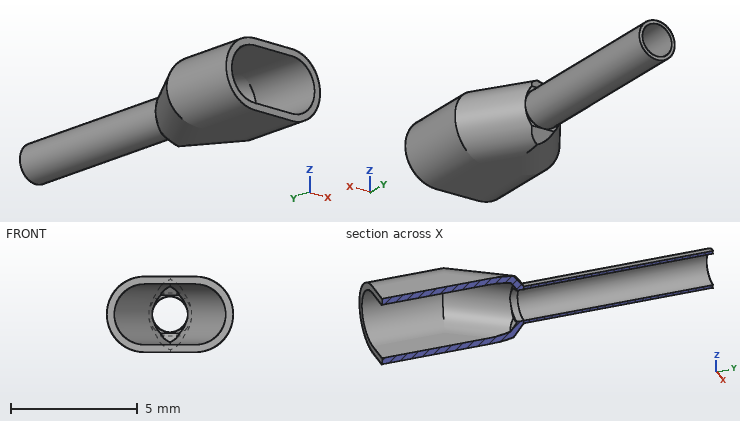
import cadquery as cq
import math

collar_width = 5.0
collar_height = 3.0
collar_length = 6.0
collar_wall = 0.3
taper_start = 3.5
tip_bevel_length = 0.5

sleeve_diameter = 1.7
sleeve_bore = 1.4
sleeve_length = 8.0

sleeve_radius = sleeve_diameter / 2
bore_radius = sleeve_bore / 2
sleeve_end = collar_length + sleeve_length

taper_angle = math.degrees(math.atan2(collar_width / 2 - sleeve_radius, collar_length - taper_start))

stock_length = 4 * collar_length


def half_round_bar(inner_x, outer_x, radius):
    """Bar along Y with a flat side at inner_x and a full round side at outer_x."""
    centre_x = outer_x - radius
    return (
        cq.Workplane("XZ")
        .moveTo(inner_x, -radius)
        .lineTo(centre_x, -radius)
        .radiusArc((outer_x, 0), -radius)
        .radiusArc((centre_x, radius), -radius)
        .lineTo(inner_x, radius)
        .close()
        .extrude(stock_length / 2, both=True)
    )


def tapered_bar(inset):
    """Half-round bar leaning along the +X taper, moved inwards by inset."""
    radius = collar_height / 2 - inset
    return (
        half_round_bar(-stock_length, -inset, radius)
        .rotate((0, 0, 0), (0, 0, 1), taper_angle)
        .translate((sleeve_radius, collar_length, 0))
    )


def straight_bar(inset):
    """Oblong bar along Y, the section of the collar mouth moved inwards by inset."""
    radius = collar_height / 2 - inset
    right_half = half_round_bar(0, collar_width / 2 - inset, radius)
    return right_half.union(right_half.mirror("YZ"))


def bevelled_block(inset):
    """Block ending in a bevelled tip; inset moves the tip and bevels inwards."""
    half_height = collar_height / 2
    bevel_rise = half_height - sleeve_radius
    bevel_slope = bevel_rise / tip_bevel_length
    tip_y = collar_length - inset
    tip_z = sleeve_radius + inset * (bevel_slope - math.hypot(1, bevel_slope))
    shoulder_y = tip_y - (half_height - tip_z) / bevel_slope
    return (
        cq.Workplane("YZ")
        .polyline([
            (0, -half_height),
            (shoulder_y, -half_height),
            (tip_y, -tip_z),
            (tip_y, tip_z),
            (shoulder_y, half_height),
            (0, half_height),
        ])
        .close()
        .extrude(collar_width, both=True)
    )


def collar_form(inset):
    """Solid collar shape with every side except the mouth moved inwards by inset."""
    right_taper = tapered_bar(inset)
    left_taper = right_taper.mirror("YZ")
    return (
        bevelled_block(inset)
        .intersect(straight_bar(inset))
        .intersect(right_taper)
        .intersect(left_taper)
    )


def make_collar():
    """Hollow collar of even wall with a hole through its tip."""
    tip_hole = (
        cq.Workplane("XZ", origin=(0, collar_length, 0))
        .circle(bore_radius)
        .extrude(2 * collar_wall)
    )
    return collar_form(0).cut(collar_form(collar_wall)).cut(tip_hole)


def make_sleeve():
    """Tube along Y, revolved from its wall section."""
    return (
        cq.Workplane("YZ")
        .moveTo(collar_length, bore_radius)
        .lineTo(sleeve_end, bore_radius)
        .lineTo(sleeve_end, sleeve_radius)
        .lineTo(collar_length, sleeve_radius)
        .close()
        .revolve(360, (0, 0, 0), (1, 0, 0))
    )


collar = make_collar()
sleeve = make_sleeve()

result = cq.Compound.makeCompound([collar.solids().val(), sleeve.val()])